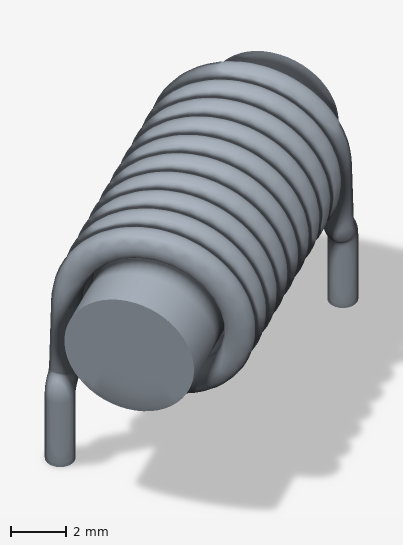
import cadquery as cq

core_diameter = 5.0
core_length = 15.4

wire_diameter = 1.12
coil_outer_diameter = 7.6
coil_radius = (coil_outer_diameter - wire_diameter) / 2
coil_pitch = 1.14
coil_turns = 9.5
coil_length = coil_pitch * coil_turns

lean_depth = 2.83
lean_end_y = 5.63
leg_y = 6.1
pin_top_depth = coil_outer_diameter / 2
pin_bottom_depth = 6.8


def make_core():
    return cq.Workplane("XZ").circle(core_diameter / 2).extrude(core_length / 2, both=True)


def make_coil():
    """Right-handed coil that starts at -X on the -Y end and finishes at +X on the +Y end."""
    helix = cq.Wire.makeHelix(coil_pitch, coil_length, coil_radius)
    coil = (
        cq.Workplane("XZ")
        .center(coil_radius, 0)
        .circle(wire_diameter / 2)
        .sweep(cq.Workplane(obj=helix), isFrenet=True)
    )
    coil = coil.translate((0, 0, -coil_length / 2))
    coil = coil.rotate((0, 0, 0), (1, 0, 0), -90)
    return coil.rotate((0, 0, 0), (0, 1, 0), 180)


def make_leg():
    """Leg at the -X, -Y end: leaning stretch, S-bend, straight pin."""
    coil_end_y = coil_length / 2
    leaning_stretch = (
        cq.Workplane("XY", origin=(-coil_radius, -coil_end_y, 0))
        .circle(wire_diameter / 2)
        .workplane(offset=-lean_depth)
        .center(0, coil_end_y - lean_end_y)
        .circle(wire_diameter / 2)
        .loft(ruled=True)
    )

    bend_width = leg_y - lean_end_y
    bend_height = pin_top_depth - lean_depth
    bend_radius = (bend_width**2 + bend_height**2) / (4 * bend_width)
    bend_middle = (-(lean_end_y + leg_y) / 2, -(lean_depth + pin_top_depth) / 2)
    bend_path = (
        cq.Workplane("YZ", origin=(-coil_radius, 0, 0))
        .moveTo(-lean_end_y, -lean_depth)
        .radiusArc(bend_middle, bend_radius)
        .radiusArc((-leg_y, -pin_top_depth), -bend_radius)
    )
    bend = (
        cq.Workplane("XY", origin=(-coil_radius, -lean_end_y, -lean_depth))
        .circle(wire_diameter / 2)
        .sweep(bend_path)
    )

    pin = (
        cq.Workplane("XY", origin=(-coil_radius, -leg_y, -pin_bottom_depth))
        .circle(wire_diameter / 2)
        .extrude(pin_bottom_depth - pin_top_depth)
    )
    return leaning_stretch.union(bend).union(pin)


def make_winding():
    winding = make_coil()
    leg = make_leg()
    for turn in (0, 180):
        winding = winding.union(leg.rotate((0, 0, 0), (0, 0, 1), turn))
    return winding


core = make_core()
winding = make_winding()

result = cq.Compound.makeCompound([core.val(), *winding.vals()])